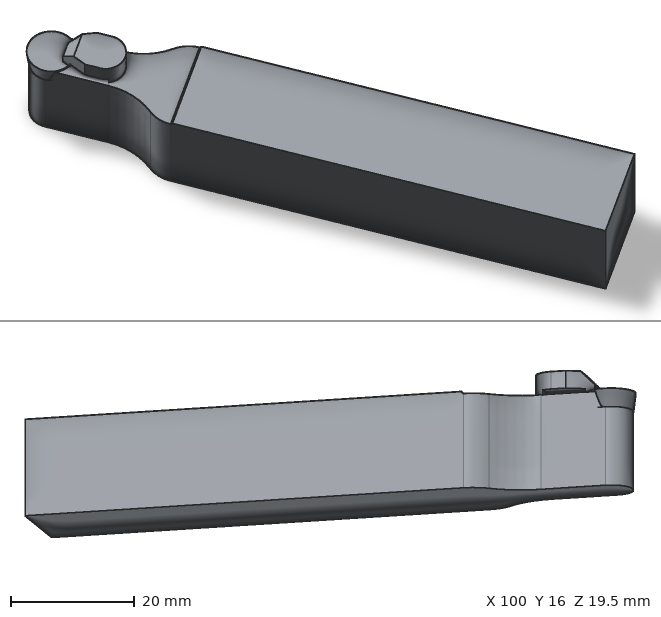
import cadquery as cq
import math

TOOL_LENGTH = 100.0
SHANK_WIDTH = 16.0
SHANK_HEIGHT = 16.0

INSERT_RADIUS = 4.0
INSERT_THICKNESS = 3.0
INSERT_RELIEF_ANGLE = 7.0
INSERT_BASE_Z = SHANK_HEIGHT - INSERT_THICKNESS

NECK_RADIUS = 3.6
BLEND_END_X = 26.6
CONCAVE_RADIUS = 12.0
CONVEX_RADIUS = 6.0
NECK_DROP = 0.35
STEP_RUN = 0.3

CLAMP_TIP_X = 6.4
CLAMP_SHOULDER_X = 10.7
CLAMP_REAR_CENTRE_X = 13.2
CLAMP_HALF_WIDTH = 3.3
CLAMP_TIP_HALF_WIDTH = 1.4
CLAMP_TOP_Z = 19.5
CLAMP_BEVEL = 2.1
CLAMP_GAP_START_X = 7.8
CLAMP_GAP_END_X = 14.6
CLAMP_GAP_TOP_Z = 16.6

HALF_WIDTH = SHANK_WIDTH / 2
NECK_TOP_Z = SHANK_HEIGHT - NECK_DROP


def make_insert():
    """Inverted truncated cone with its top flush with the shank."""
    base_radius = INSERT_RADIUS - INSERT_THICKNESS * math.tan(math.radians(INSERT_RELIEF_ANGLE))
    cone = cq.Solid.makeCone(
        base_radius,
        INSERT_RADIUS,
        INSERT_THICKNESS,
        pnt=cq.Vector(INSERT_RADIUS, 0, INSERT_BASE_Z),
    )
    return cq.Workplane("XY").newObject([cone])


def make_holder_blank():
    """Shank, blend and round-nosed neck, before the top is lowered."""
    total_radius = CONCAVE_RADIUS + CONVEX_RADIUS
    sweep = math.acos(1 - (HALF_WIDTH - NECK_RADIUS) / total_radius)
    blend_start_x = BLEND_END_X - total_radius * math.sin(sweep)

    def concave_point(angle):
        x = blend_start_x + CONCAVE_RADIUS * math.sin(angle)
        y = NECK_RADIUS + CONCAVE_RADIUS * (1 - math.cos(angle))
        return x, y

    def convex_point(angle):
        x = BLEND_END_X - CONVEX_RADIUS * math.sin(angle)
        y = HALF_WIDTH - CONVEX_RADIUS * (1 - math.cos(angle))
        return x, y

    def mirrored(point):
        return point[0], -point[1]

    concave_middle = concave_point(sweep / 2)
    inflection = concave_point(sweep)
    convex_middle = convex_point(sweep / 2)
    return (
        cq.Workplane("XY")
        .moveTo(INSERT_RADIUS, NECK_RADIUS)
        .lineTo(blend_start_x, NECK_RADIUS)
        .threePointArc(concave_middle, inflection)
        .threePointArc(convex_middle, (BLEND_END_X, HALF_WIDTH))
        .lineTo(TOOL_LENGTH, HALF_WIDTH)
        .lineTo(TOOL_LENGTH, -HALF_WIDTH)
        .lineTo(BLEND_END_X, -HALF_WIDTH)
        .threePointArc(mirrored(convex_middle), mirrored(inflection))
        .threePointArc(mirrored(concave_middle), (blend_start_x, -NECK_RADIUS))
        .lineTo(INSERT_RADIUS, -NECK_RADIUS)
        .threePointArc((INSERT_RADIUS - NECK_RADIUS, 0), (INSERT_RADIUS, NECK_RADIUS))
        .close()
        .extrude(SHANK_HEIGHT)
    )


def make_neck_relief():
    """Shallow cut that lowers the neck and ends in a sloped step."""
    return (
        cq.Workplane("XZ")
        .moveTo(0, NECK_TOP_Z)
        .lineTo(BLEND_END_X, NECK_TOP_Z)
        .lineTo(BLEND_END_X + STEP_RUN, SHANK_HEIGHT)
        .lineTo(0, SHANK_HEIGHT)
        .close()
        .extrude(HALF_WIDTH, both=True)
    )


def make_clamp_finger():
    """Bevelled finger standing on its rear foot and pressing on the insert."""
    rear_x = CLAMP_REAR_CENTRE_X + CLAMP_HALF_WIDTH
    plan = (
        cq.Workplane("XY", origin=(0, 0, NECK_TOP_Z))
        .moveTo(CLAMP_TIP_X, CLAMP_TIP_HALF_WIDTH)
        .lineTo(CLAMP_SHOULDER_X, CLAMP_HALF_WIDTH)
        .lineTo(CLAMP_REAR_CENTRE_X, CLAMP_HALF_WIDTH)
        .threePointArc((rear_x, 0), (CLAMP_REAR_CENTRE_X, -CLAMP_HALF_WIDTH))
        .lineTo(CLAMP_SHOULDER_X, -CLAMP_HALF_WIDTH)
        .lineTo(CLAMP_TIP_X, -CLAMP_TIP_HALF_WIDTH)
        .close()
        .extrude(CLAMP_TOP_Z - NECK_TOP_Z)
    )
    side = (
        cq.Workplane("XZ")
        .moveTo(CLAMP_TIP_X, SHANK_HEIGHT)
        .lineTo(CLAMP_TIP_X, CLAMP_TOP_Z - CLAMP_BEVEL)
        .lineTo(CLAMP_TIP_X + CLAMP_BEVEL, CLAMP_TOP_Z)
        .lineTo(rear_x, CLAMP_TOP_Z)
        .lineTo(rear_x, NECK_TOP_Z)
        .lineTo(CLAMP_GAP_END_X, NECK_TOP_Z)
        .lineTo(CLAMP_GAP_END_X, CLAMP_GAP_TOP_Z)
        .lineTo(CLAMP_GAP_START_X, CLAMP_GAP_TOP_Z)
        .lineTo(CLAMP_GAP_START_X, SHANK_HEIGHT)
        .close()
        .extrude(CLAMP_HALF_WIDTH, both=True)
    )
    return plan.intersect(side)


def make_holder(insert):
    """Holder with the clamp finger and a seat matching the insert."""
    body = make_holder_blank().cut(make_neck_relief())
    return body.union(make_clamp_finger()).cut(insert)


cutting_insert = make_insert()
holder = make_holder(cutting_insert)

result = cq.Compound.makeCompound([holder.val(), cutting_insert.val()])